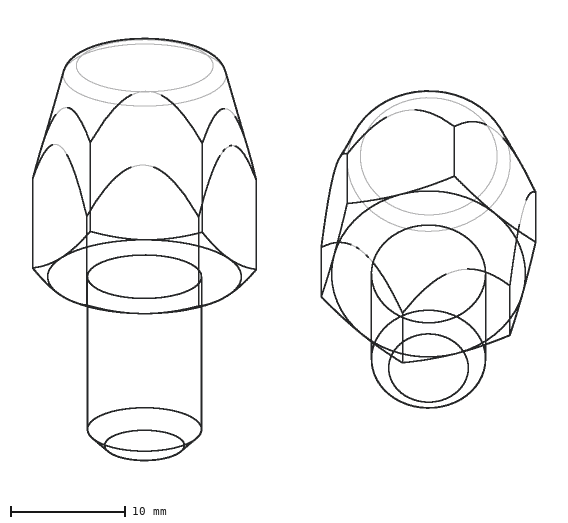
import cadquery as cq
import math

total_height = 36.0
head_height = 20.0
across_flats = 17.0
stud_diameter = 10.0
stud_chamfer = 1.5

crown_radius = 6.9
crown_angle = 15.0
crown_fillet = 1.2
underside_angle = 30.0

corner_radius = across_flats / math.sqrt(3)
flat_radius = across_flats / 2
envelope_radius = corner_radius + 0.35
head_base = total_height - head_height


def make_hexagon():
    """Hexagonal prism with corners on the Y axis."""
    return (
        cq.Workplane("XY", origin=(0, 0, head_base))
        .polygon(6, 2 * corner_radius)
        .extrude(head_height)
        .rotate((0, 0, 0), (0, 0, 1), 30)
    )


def make_head_envelope():
    """Turned body whose cones trim the hexagon at both ends."""
    underside_top = head_base + (envelope_radius - flat_radius) * math.tan(math.radians(underside_angle))
    crown_bottom = total_height - (envelope_radius - crown_radius) / math.tan(math.radians(crown_angle))
    return (
        cq.Workplane("XZ")
        .moveTo(0, head_base)
        .lineTo(flat_radius, head_base)
        .lineTo(envelope_radius, underside_top)
        .lineTo(envelope_radius, crown_bottom)
        .lineTo(crown_radius, total_height)
        .lineTo(0, total_height)
        .close()
        .revolve(360, (0, 0, 0), (0, 1, 0))
        .faces(">Z")
        .edges()
        .fillet(crown_fillet)
    )


def make_stud():
    """Plain stud from Z = 0 up to the head, chamfered at its free end."""
    return (
        cq.Workplane("XY")
        .circle(stud_diameter / 2)
        .extrude(head_base)
        .faces("<Z")
        .chamfer(stud_chamfer)
    )


head = make_hexagon().intersect(make_head_envelope())
result = head.union(make_stud())